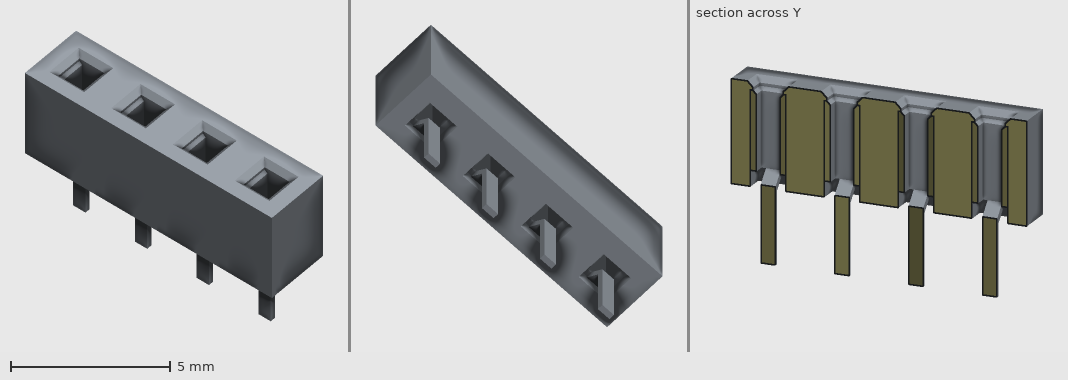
import cadquery as cq
import math

length = 10.16
width = 2.5
housing_height = 3.51
total_height = 6.0
tail_length = total_height - housing_height

contact_count = 4
pitch = length / contact_count
positions = [(i - (contact_count - 1) / 2) * pitch for i in range(contact_count)]

mouth_size = 1.42
throat_size = 1.03
funnel_depth = (mouth_size - throat_size) / 2
throat_length = 0.1

sheet = 0.2
tail_width = 0.51
box_inside = 0.8
box_outside = box_inside + 2 * sheet
box_top = housing_height - funnel_depth - throat_length
box_back = throat_size / 2
box_front = -box_outside / 2
lead_in_depth = (throat_size - box_inside) / 2

neck_angle = math.radians(46)
neck_bottom = -0.07
bend_offset = sheet * math.tan((math.pi / 2 - neck_angle) / 2)
neck_run = (sheet + box_inside) / 2
neck_start = neck_bottom + bend_offset
neck_top = neck_start + neck_run * math.tan(neck_angle)


def block(x_size, y_min, y_max, z_min, z_max):
    """Box centred on X between the given Y and Z limits."""
    return cq.Workplane("XY").box(
        x_size, y_max - y_min, z_max - z_min, centered=(True, False, False)
    ).translate((0, y_min, z_min))


def funnel(top_size, depth, z_top, extra_back=0):
    """Funnel that narrows downward at 45 degrees from z_top; extra_back lengthens it toward +Y."""
    return (
        cq.Workplane("XY", origin=(0, extra_back / 2, z_top))
        .rect(top_size, top_size + extra_back)
        .extrude(-depth, taper=45)
    )


def make_socket_cut():
    """Funnel, throat and the pocket that holds the contact, open at the bottom."""
    throat_half = throat_size / 2
    throat = block(throat_size, -throat_half, throat_half, box_top, housing_height - funnel_depth)
    pocket = block(box_outside, box_front, box_back, 0, box_top)
    return funnel(mouth_size, funnel_depth, housing_height).union(throat).union(pocket)


def make_housing():
    housing = block(length, -width / 2, width / 2, 0, housing_height)
    socket_cut = make_socket_cut()
    for x in positions:
        housing = housing.cut(socket_cut.translate((x, 0, 0)))
    return housing


def make_contact():
    """U-shaped box with a lead-in at its top, a sloping neck and a straight tail."""
    box = block(box_outside, box_front, box_back, neck_top, box_top)
    box = box.cut(block(box_inside, -box_inside / 2, box_back, neck_top, box_top))
    box = box.cut(funnel(throat_size, lead_in_depth, box_top, extra_back=lead_in_depth))
    tail_profile = [
        (sheet / 2, -tail_length),
        (sheet / 2, neck_start),
        (sheet / 2 - neck_run, neck_top),
        (box_front, neck_top),
        (box_front, neck_top - bend_offset),
        (-sheet / 2, neck_bottom),
        (-sheet / 2, -tail_length),
    ]
    tail = cq.Workplane("YZ").polyline(tail_profile).close().extrude(tail_width / 2, both=True)
    return box.union(tail)


housing = make_housing()
contact = make_contact()
contacts = [contact.translate((x, 0, 0)) for x in positions]

result = cq.Compound.makeCompound([housing.solids().val(), *[c.solids().val() for c in contacts]])